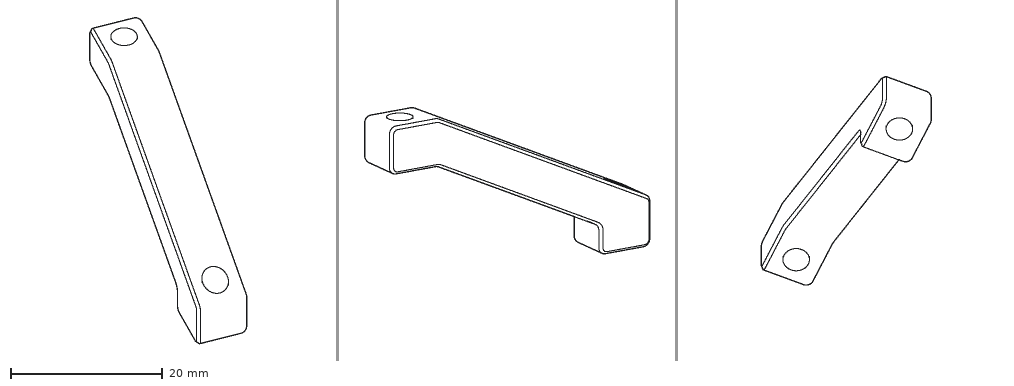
import cadquery as cq
import math

length = 40.75
width = 7.25
height = 23.0

head_height = 6.65
head_length = 7.45
foot_length = 8.0
slope_angle = 25.9

edge_radius = 1.0
front_chamfer = 0.4

hole_diameter = 3.5
head_hole_inset = 3.65
foot_hole_inset = 3.05

slope = math.tan(math.radians(slope_angle))
foot_start = length - foot_length
head_bottom = height - head_height


def sloped_height(start_height, x):
    """Height at x of a line that descends from the end of the head."""
    return start_height - slope * (x - head_length)


def make_body():
    """Extrude the side profile across the width and round its corners."""
    outline = [
        (0, head_bottom),
        (0, height),
        (head_length, height),
        (length, sloped_height(height, length)),
        (length, 0),
        (foot_start, 0),
        (foot_start, sloped_height(head_bottom, foot_start)),
        (head_length, head_bottom),
    ]
    body = cq.Workplane("XZ").polyline(outline).close().extrude(-width)
    return body.edges("|Y").fillet(edge_radius)


def finish_sides(body):
    """Chamfer the front outline and round the back outline."""
    body = body.faces("<Y").edges().chamfer(front_chamfer)
    return body.faces(">Y").edges().fillet(edge_radius)


def drill_holes(body):
    """Cut one vertical hole through the head and one through the foot."""
    centers = [
        (head_hole_inset, width / 2),
        (length - foot_hole_inset, width / 2),
    ]
    drills = cq.Workplane("XY").pushPoints(centers).circle(hole_diameter / 2).extrude(height)
    return body.cut(drills)


result = drill_holes(finish_sides(make_body()))